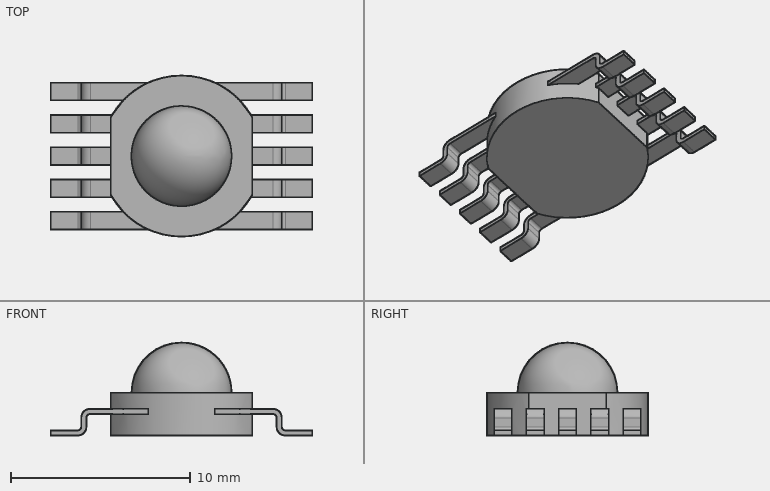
import cadquery as cq
import math

body_radius = 4.5
body_height = 2.4
body_width = 7.9
flat_x = body_width / 2
flat_half_length = math.sqrt(body_radius**2 - flat_x**2)

lens_radius = 2.8

lead_count = 5
lead_pitch = 1.8
lead_width = 1.0
lead_thickness = 0.3
lead_span = 14.6
lead_top = 1.5
shank_span = 11.2
bend_inner_radius = 0.2
bend_outer_radius = bend_inner_radius + lead_thickness

lead_tip_x = lead_span / 2
shank_outer_x = shank_span / 2
shank_inner_x = shank_outer_x - lead_thickness
lead_underside = lead_top - lead_thickness
lead_root_x = 1.5


def make_body():
    outline = (
        cq.Workplane("XY")
        .moveTo(flat_x, -flat_half_length)
        .lineTo(flat_x, flat_half_length)
        .threePointArc((0, body_radius), (-flat_x, flat_half_length))
        .lineTo(-flat_x, -flat_half_length)
        .threePointArc((0, -body_radius), (flat_x, -flat_half_length))
        .close()
    )
    return outline.extrude(body_height)


def make_lens():
    """Hemisphere with its flat side on the top face of the body."""
    sphere = cq.Workplane("XY").sphere(lens_radius).translate((0, 0, body_height))
    above_seat = (
        cq.Workplane("XY")
        .workplane(offset=body_height)
        .rect(2 * lens_radius, 2 * lens_radius)
        .extrude(lens_radius)
    )
    return sphere.intersect(above_seat)


def make_lead(y_center):
    """One lead on the +X side, centred on y_center."""
    profile = (
        cq.Workplane("XZ", origin=(0, y_center, 0))
        .moveTo(lead_root_x, lead_top)
        .lineTo(shank_outer_x - bend_outer_radius, lead_top)
        .tangentArcPoint((shank_outer_x, lead_top - bend_outer_radius), relative=False)
        .lineTo(shank_outer_x, lead_thickness + bend_inner_radius)
        .tangentArcPoint((shank_outer_x + bend_inner_radius, lead_thickness), relative=False)
        .lineTo(lead_tip_x, lead_thickness)
        .lineTo(lead_tip_x, 0)
        .lineTo(shank_inner_x + bend_outer_radius, 0)
        .tangentArcPoint((shank_inner_x, bend_outer_radius), relative=False)
        .lineTo(shank_inner_x, lead_underside - bend_inner_radius)
        .tangentArcPoint((shank_inner_x - bend_inner_radius, lead_underside), relative=False)
        .lineTo(lead_root_x, lead_underside)
        .close()
    )
    return profile.extrude(lead_width / 2, both=True)


result = make_body().union(make_lens())
for index in range(lead_count):
    lead = make_lead((index - (lead_count - 1) / 2) * lead_pitch)
    result = result.union(lead).union(lead.mirror("YZ"))